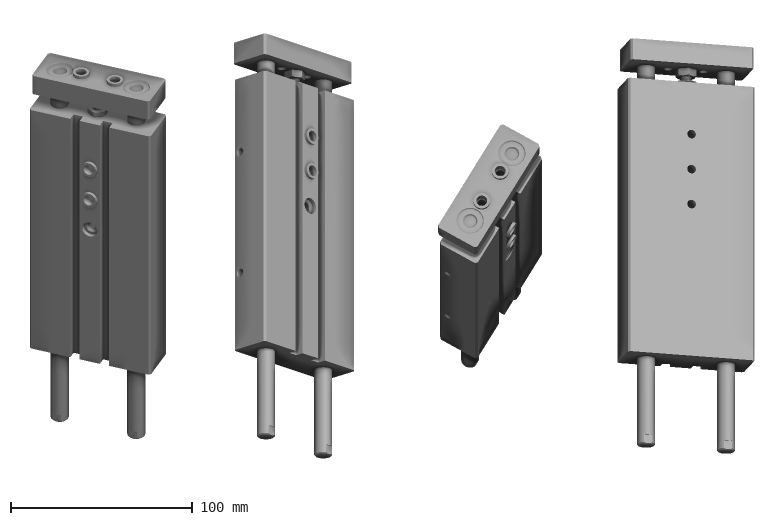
import cadquery as cq
import math


total_height = 231.0
stroke = 50.0
housing_height = 157.0
gap = 10.2
housing_bottom = stroke
housing_top = housing_bottom + housing_height
plate_bottom = housing_top + gap

housing_width = 72.0
housing_depth = 24.0
housing_corner = 1.2
housing_front = -housing_depth / 2

slot_width = 5.5
slot_depth = 4.9
slot_offset = 8.8

drill_point_angle = 118.0
countersink_angle = 90.0

port_diameter = 4.2
port_mouth_diameter = 4.9
port_depth = 5.5
port_y = 7.0
port_heights = (93.8, 164.0)

sleeve_outer = 9.0
sleeve_inner = 6.0
sleeve_recess = 2.5
sleeve_projection = 1.8
sleeve_length = sleeve_recess + sleeve_projection
hole_diameter = 4.9
hole_mouth_diameter = 6.0
hole_pitch = 20.0
mounting_hole_count = 3
upper_hole_z = 177.2
mounting_heights = [upper_hole_z - i * hole_pitch for i in range(mounting_hole_count)]
sleeved_heights = mounting_heights[:2]

plate_width = 70.0
plate_depth = 25.0
plate_top = total_height - sleeve_projection
plate_thickness = plate_top - plate_bottom
plate_shift = 1.5
plate_corner = 1.2

piston_rod_diameter = 6.0
hex_across_flats = 10.2
lock_nut_height = 4.2
rod_hex_height = 3.2
hex_chamfer_height = 0.7

rod_diameter = 10.0
rod_spacing = 45.5
rod_offset = rod_spacing / 2
rod_end_chamfer = 0.7
flat_height = 5.0
flat_across = 8.8
head_diameter = 14.0
head_thickness = 4.6
head_mouth_diameter = 15.0
head_setback = (head_mouth_diameter - head_diameter) / 2
socket_diameter = 8.0
socket_floor_diameter = 6.7
head_top = plate_top - head_setback

sides = (-1, 1)


def cylinder(diameter, bottom, top, x=0.0):
    """Upright cylinder on the rod plane between two heights."""
    return cq.Workplane("XY", origin=(x, 0, bottom)).circle(diameter / 2).extrude(top - bottom)


def countersink(wide, narrow):
    """Cone cutter with its wide end at the origin, narrowing downwards."""
    depth = (wide - narrow) / 2 / math.tan(math.radians(countersink_angle / 2))
    return cq.Workplane("XY").circle(wide / 2).extrude(-depth, taper=countersink_angle / 2)


def sleeve_hole(depth):
    """Cutter for a countersunk hole with a sleeve recess, mouth at the origin, going down."""
    recess = cylinder(sleeve_outer, -sleeve_recess, 0)
    mouth = countersink(hole_mouth_diameter, hole_diameter).translate((0, 0, -sleeve_recess))
    return cylinder(hole_diameter, -depth, 0).union(recess).union(mouth)


def face_front(shape, z):
    """Turn a shape from facing up to facing the housing front, and place it at height z."""
    return shape.rotate((0, 0, 0), (1, 0, 0), 90).translate((0, housing_front, z))


def guide_rod_shape(x):
    """Solid outline of a guide rod: long shank and the head set in the end plate."""
    shank = cylinder(rod_diameter, 0, head_top, x).faces("<Z").chamfer(rod_end_chamfer)
    return shank.union(cylinder(head_diameter, head_top - head_thickness, head_top, x))


def make_guide_rod(x):
    socket = countersink(socket_diameter, socket_floor_diameter).translate((x, 0, head_top))
    rod = guide_rod_shape(x).cut(socket)
    for side in sides:
        beyond_flat = (
            cq.Workplane("XY")
            .box(rod_diameter, rod_diameter, flat_height, centered=(True, True, False))
            .translate((x, side * (flat_across + rod_diameter) / 2, 0))
        )
        rod = rod.cut(beyond_flat)
    return rod


def make_sleeve():
    """Centring sleeve standing upright, sunk into its recess below z = 0."""
    return (
        cq.Workplane("XY", origin=(0, 0, -sleeve_recess))
        .circle(sleeve_outer / 2)
        .circle(sleeve_inner / 2)
        .extrude(sleeve_length)
    )


def make_port(z):
    """Cutter for a countersunk port with a conical bottom, entering from the -X side."""
    radius = port_diameter / 2
    cone_height = radius / math.tan(math.radians(drill_point_angle / 2))
    half_section = [(0, 0), (radius, 0), (radius, -port_depth), (0, -port_depth - cone_height)]
    drill = cq.Workplane("XZ").polyline(half_section).close().revolve(360, (0, 0), (0, 1))
    drill = drill.union(countersink(port_mouth_diameter, port_diameter))
    return drill.rotate((0, 0, 0), (0, 1, 0), -90).translate((-housing_width / 2, port_y, z))


def make_housing():
    body = (
        cq.Workplane("XY", origin=(0, 0, housing_bottom))
        .rect(housing_width, housing_depth)
        .extrude(housing_height)
        .edges("|Z")
        .chamfer(housing_corner)
    )
    for side in sides:
        slot = (
            cq.Workplane("XY")
            .box(slot_width, 2 * slot_depth, housing_height, centered=(True, True, False))
            .translate((side * slot_offset, housing_front, housing_bottom))
        )
        body = body.cut(slot)
        body = body.cut(cylinder(rod_diameter, housing_bottom, housing_top, side * rod_offset))
    for z in mounting_heights:
        body = body.cut(face_front(sleeve_hole(housing_depth), z))
    for z in port_heights:
        body = body.cut(make_port(z))
    return body


def make_hexagon(bottom, height):
    """Hexagon with flats facing +X and -X and its lower corners bevelled."""
    corner_diameter = hex_across_flats / math.cos(math.pi / 6)
    prism = (
        cq.Workplane("XY", origin=(0, 0, bottom))
        .polygon(6, corner_diameter)
        .extrude(height)
        .rotate((0, 0, 0), (0, 0, 1), 90)
    )
    bevel = cylinder(corner_diameter, bottom, bottom + height).faces("<Z").chamfer(
        hex_chamfer_height, (corner_diameter - hex_across_flats) / 2
    )
    return prism.intersect(bevel)


def make_end_plate():
    plate = (
        cq.Workplane("XY", origin=(0, plate_shift, plate_bottom))
        .rect(plate_width, plate_depth)
        .extrude(plate_thickness)
        .edges("|Z")
        .chamfer(plate_corner)
    )
    for side in sides:
        hole_x = side * hole_pitch / 2
        rod_x = side * rod_offset
        plate = plate.cut(sleeve_hole(plate_thickness).translate((hole_x, 0, plate_top)))
        plate = plate.cut(guide_rod_shape(rod_x))
        head_mouth = countersink(head_mouth_diameter, head_diameter)
        plate = plate.cut(head_mouth.translate((rod_x, 0, plate_top)))
    plate = plate.union(make_hexagon(plate_bottom - lock_nut_height, lock_nut_height))
    plate = plate.union(cylinder(piston_rod_diameter, housing_top, plate_bottom))
    return plate.union(make_hexagon(housing_top, rod_hex_height))


housing = make_housing()
end_plate = make_end_plate()
guide_rods = [make_guide_rod(side * rod_offset) for side in sides]
plate_sleeves = [make_sleeve().translate((side * hole_pitch / 2, 0, plate_top)) for side in sides]
housing_sleeves = [face_front(make_sleeve(), z) for z in sleeved_heights]

bodies = [housing, end_plate, *guide_rods, *plate_sleeves, *housing_sleeves]
result = cq.Compound.makeCompound([body.solids().val() for body in bodies])